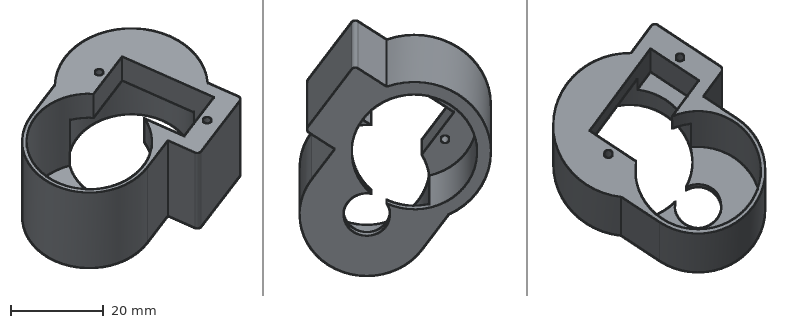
import cadquery as cq

overall_width = 38.75
overall_length = 49.0
height = 25.15
housing_radius = 16.5
barrel_radius = 14.5
barrel_y = housing_radius + barrel_radius - overall_length

bore_radius = 13.5
roof_thickness = 8.0
floor_thickness = 2.0
shaft_hole_radius = 5.0

block_left = -11.4
block_right = overall_width - housing_radius
block_width = 18.45
block_corner_radius = 1.0
pocket_left = -6.0
pocket_right = 16.9
pocket_width = 12.7
pocket_depth = 15.0

screw_diameter = 1.8
screw_xs = (-8.05, 18.9)
screw_depth = roof_thickness


def cylinder(radius, y, bottom, top):
    """Upright cylinder on the part's centre plane."""
    return cq.Workplane("XY", origin=(0, y, bottom)).circle(radius).extrude(top - bottom)


def block(left, right, front, back, bottom, top):
    """Axis-aligned block between the given limits."""
    size = (right - left, back - front, top - bottom)
    return cq.Workplane("XY", origin=(left, front, bottom)).box(*size, centered=False)


def make_body():
    """Housing and barrel joined by straight sides, plus the mounting block."""
    housing = cylinder(housing_radius, 0, 0, height)
    barrel = cylinder(barrel_radius, barrel_y, 0, height)
    bridge = block(-barrel_radius, barrel_radius, barrel_y, 0, 0, height)
    mount = block(block_left, block_right, -block_width / 2, block_width / 2, 0, height)
    mount = mount.edges("|Z and >X").fillet(block_corner_radius)
    return housing.union(barrel).union(bridge).union(mount)


def make_cavities():
    """Housing bore open below, barrel bore open above, and the shaft hole."""
    housing_bore = cylinder(bore_radius, 0, 0, height - roof_thickness)
    barrel_bore = cylinder(bore_radius, barrel_y, floor_thickness, height)
    shaft_hole = cylinder(shaft_hole_radius, barrel_y, 0, height)
    return housing_bore.union(barrel_bore).union(shaft_hole)


def make_pocket():
    """Rectangular pocket cut from the top of the mounting block."""
    half_width = pocket_width / 2
    return block(pocket_left, pocket_right, -half_width, half_width, height - pocket_depth, height)


def make_screw_holes():
    """Vertical screw holes as deep as the roof."""
    points = [(x, 0) for x in screw_xs]
    plane = cq.Workplane("XY", origin=(0, 0, height))
    return plane.pushPoints(points).circle(screw_diameter / 2).extrude(-screw_depth)


result = make_body().cut(make_cavities()).cut(make_pocket()).cut(make_screw_holes())